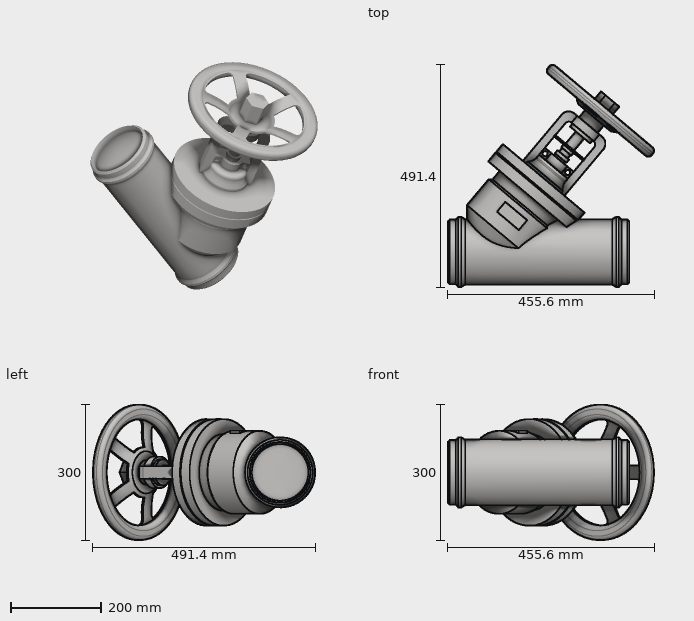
import cadquery as cq
import math


pipe_length = 400.8
pipe_radius = 73.0
pipe_end_radius = 72.0
bead_radius = 77.5
bead_shoulder_radius = 74.2
end_chamfer = 4.5
recess_depth = 14.8
recess_mouth_radius = 66.5
recess_floor_radius = 62.5
bead_start = 17.0
bead_shoulder = 20.0
bead_crest_start = 23.0
bead_crest_end = 29.0
bead_end = 38.0

axis_angle = 50.0
axis_foot_x = -125.5

body_radius = 92.0
body_bottom = 58.0
body_top = 133.0
neck_radius = 85.0
neck_start = 137.5
flange_radius = 118.0
lower_flange_bottom = 162.5
lower_flange_top = 187.5
upper_flange_bottom = 190.5
upper_flange_top = 212.5
body_cone_tip_radius = 44.5
body_cone_bottom = body_bottom - (body_radius - body_cone_tip_radius) * math.tan(math.radians(axis_angle))

plate_width = 63.0
plate_bottom = 89.5
plate_top = 118.0
plate_face = 92.5
plate_depth = 10.0

bonnet_base_radius = 54.0
bonnet_flare_radius = 52.5
bonnet_flare_start = 218.5
bonnet_flare_arc = 29.5
bonnet_waist_radius = 44.0
bonnet_waist_start = 235.0
bonnet_top = 246.0
bonnet_round = 7.5

yoke_half_width = 60.0
yoke_leg_width = 18.5
yoke_thickness = 28.0
yoke_top = 366.0
yoke_bar_height = 19.5
yoke_outer_round = 19.5
yoke_inner_round = 10.0
yoke_inner_half = yoke_half_width - yoke_leg_width
yoke_inner_top = yoke_top - yoke_bar_height

gland_radius = 24.0
gland_top = 266.0
lug_thickness = 14.8
lug_hole_radius = 5.5
lug_hole_offset = 32.5
lug_hole_height = 256.0

stem_radius = 12.5
gland_neck_radius = 14.8
gland_collar_radius = 16.5
gland_collar_bottom = 271.0
gland_collar_top = 280.0
stem_collar_bottom = 290.0
guide_bar_bottom = 298.0
guide_bar_height = 4.5
guide_bar_length = 84.5
guide_bar_width = 31.5

bush_lip_radius = 29.0
bush_lip_bottom = 337.5
bush_radius = 35.0
sleeve_radius = 27.0

rim_outer_radius = 150.0
rim_width = 33.0
rim_height = 24.0
rim_bottom = 395.5
rim_outer_round = 9.5
rim_inner_round = 11.5
hub_bottom = 387.0
hub_flat_radius = 46.5
hub_radius = 55.5
web_thickness = 4.5
web_mid_radius = 85.0
web_mid_rise = 17.5
web_end_rise = 25.0
web_overlap = 5.0
spoke_count = 5
spoke_width = 31.0
spoke_fillet = 10.0
rim_inner_radius = rim_outer_radius - rim_width
web_outer_radius = rim_inner_radius + web_overlap
nut_corner_radius = 26.5
nut_top = 441.0


def disc(radius, bottom, top):
    """Cylinder on the valve axis between two heights."""
    return cq.Workplane("XY").workplane(offset=bottom).circle(radius).extrude(top - bottom)


def turned(profile):
    """Revolve an XZ sketch (radius, height) around the Z axis."""
    return profile.close().revolve(360, (0, 0), (0, 1))


def make_pipe():
    half = pipe_length / 2
    chamfer_radius = pipe_end_radius - end_chamfer
    end_steps = [
        (0, chamfer_radius),
        (end_chamfer, pipe_end_radius),
        (bead_start, pipe_end_radius),
        (bead_shoulder, bead_shoulder_radius),
        (bead_crest_start, bead_radius),
        (bead_crest_end, bead_radius),
        (bead_end, pipe_radius),
    ]
    recess = [(recess_depth, 0), (recess_depth, recess_floor_radius), (0, recess_mouth_radius)]
    left_end = [(distance - half, radius) for distance, radius in recess + end_steps]
    right_end = [(-x, radius) for x, radius in reversed(left_end)]
    outline = cq.Workplane("XY").polyline(left_end + right_end).close()
    return outline.revolve(360, (0, 0), (1, 0))


def make_body():
    body = turned(
        cq.Workplane("XZ")
        .moveTo(0, body_cone_bottom)
        .lineTo(body_cone_tip_radius, body_cone_bottom)
        .lineTo(body_radius, body_bottom)
        .lineTo(body_radius, body_top)
        .lineTo(neck_radius, neck_start)
        .lineTo(neck_radius, upper_flange_bottom)
        .lineTo(0, upper_flange_bottom)
    )
    lower_flange = disc(flange_radius, lower_flange_bottom, lower_flange_top)
    upper_flange = disc(flange_radius, upper_flange_bottom, upper_flange_top)
    name_plate = cq.Workplane("XY").box(
        plate_width, plate_depth, plate_top - plate_bottom, centered=(True, False, False)
    ).translate((0, -plate_face, plate_bottom))
    return body.union(lower_flange).union(upper_flange).union(name_plate)


def make_bonnet():
    bonnet = turned(
        cq.Workplane("XZ")
        .moveTo(0, upper_flange_top)
        .lineTo(bonnet_base_radius, upper_flange_top)
        .lineTo(bonnet_flare_radius, bonnet_flare_start)
        .radiusArc((bonnet_waist_radius, bonnet_waist_start), bonnet_flare_arc)
        .lineTo(bonnet_waist_radius, bonnet_top)
        .lineTo(0, bonnet_top)
    )
    return bonnet.faces(">Z").edges().fillet(bonnet_round)


def make_yoke():
    def arch(half_width, top, corner_round):
        block = cq.Workplane("XY").box(
            2 * half_width, yoke_thickness, top - upper_flange_top, centered=(True, True, False)
        )
        return block.edges("|Y and >Z").fillet(corner_round).translate((0, 0, upper_flange_top))

    outside = arch(yoke_half_width, yoke_top, yoke_outer_round)
    opening = arch(yoke_inner_half, yoke_inner_top, yoke_inner_round)
    return outside.cut(opening)


def make_lugs():
    lugs = cq.Workplane("XY").box(
        2 * yoke_inner_half, lug_thickness, gland_top - upper_flange_top, centered=(True, True, False)
    ).translate((0, 0, upper_flange_top))
    holes = (
        cq.Workplane("XZ")
        .pushPoints([(-lug_hole_offset, lug_hole_height), (lug_hole_offset, lug_hole_height)])
        .circle(lug_hole_radius)
        .extrude(lug_thickness, both=True)
    )
    return lugs.cut(holes)


def make_stem():
    steps = [
        (gland_radius, bonnet_top, gland_top),
        (gland_neck_radius, gland_top, gland_collar_bottom),
        (gland_collar_radius, gland_collar_bottom, gland_collar_top),
        (stem_radius, gland_collar_top, bush_lip_bottom),
        (gland_neck_radius, stem_collar_bottom, guide_bar_bottom),
        (bush_lip_radius, bush_lip_bottom, yoke_inner_top),
        (bush_radius, yoke_inner_top, yoke_top),
        (sleeve_radius, yoke_top, hub_bottom),
    ]
    stem = cq.Workplane("XY").box(
        guide_bar_length, guide_bar_width, guide_bar_height, centered=(True, True, False)
    ).translate((0, 0, guide_bar_bottom))
    for radius, bottom, top in steps:
        stem = stem.union(disc(radius, bottom, top))
    return stem


def make_windows():
    """Openings between the spokes, rounded where they meet the rim."""
    ring = disc(rim_inner_radius, hub_bottom, nut_top).cut(disc(hub_radius, hub_bottom, nut_top))
    for i in range(spoke_count):
        spoke = cq.Workplane("XY").box(
            rim_outer_radius, spoke_width, nut_top - hub_bottom, centered=(False, True, False)
        ).translate((0, 0, hub_bottom))
        ring = ring.cut(spoke.rotate((0, 0, 0), (0, 0, 1), i * 360 / spoke_count))
    mid_radius = (hub_radius + rim_inner_radius) / 2
    hub_side = cq.selectors.BoxSelector((-mid_radius, -mid_radius, 0), (mid_radius, mid_radius, nut_top))
    upright = cq.selectors.ParallelDirSelector(cq.Vector(0, 0, 1))
    rim_corners = cq.selectors.SubtractSelector(upright, hub_side)
    return ring.edges(rim_corners).fillet(spoke_fillet)


def make_handwheel():
    hub_top = hub_bottom + web_thickness
    web = turned(
        cq.Workplane("XZ")
        .moveTo(0, hub_bottom)
        .lineTo(hub_flat_radius, hub_bottom)
        .threePointArc(
            (web_mid_radius, hub_bottom + web_mid_rise), (web_outer_radius, hub_bottom + web_end_rise)
        )
        .lineTo(web_outer_radius, hub_top + web_end_rise)
        .threePointArc((web_mid_radius, hub_top + web_mid_rise), (hub_flat_radius, hub_top))
        .lineTo(0, hub_top)
    ).cut(make_windows())
    rim_top = rim_bottom + rim_height
    rim = disc(rim_outer_radius, rim_bottom, rim_top).cut(disc(rim_inner_radius, rim_bottom, rim_top))
    outer_edges = cq.selectors.RadiusNthSelector(-1)
    rim = rim.edges(outer_edges).fillet(rim_outer_round)
    inner_edges = cq.selectors.RadiusNthSelector(1)
    rim = rim.edges(inner_edges).fillet(rim_inner_round)
    nut = (
        cq.Workplane("XY")
        .workplane(offset=hub_bottom)
        .polygon(6, 2 * nut_corner_radius)
        .extrude(nut_top - hub_bottom)
    )
    return web.union(rim).union(nut)


lean = math.radians(axis_angle)
valve_plane = cq.Plane(
    origin=(axis_foot_x, 0, 0),
    xDir=(math.sin(lean), -math.cos(lean), 0),
    normal=(math.cos(lean), math.sin(lean), 0),
)
valve = make_body()
for section in (make_bonnet(), make_yoke(), make_lugs(), make_stem(), make_handwheel()):
    valve = valve.union(section)
result = make_pipe().union(cq.Workplane(valve.val().moved(cq.Location(valve_plane))))